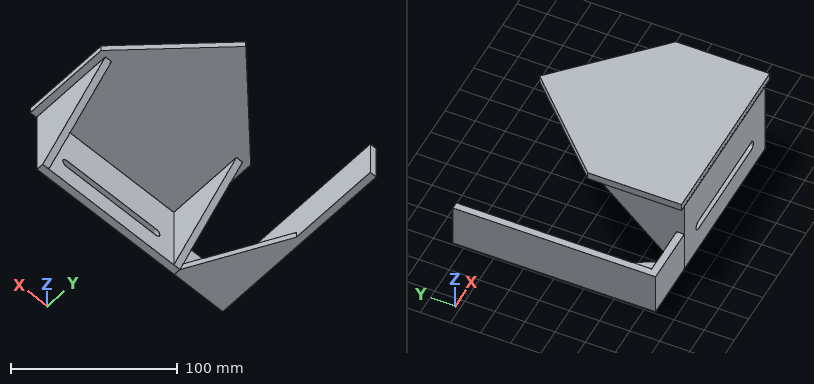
import cadquery as cq

wall = 5.0
total_width = 157.6
total_height = 60.0

bracket_width = 39.9
bracket_depth = 135.0
bracket_height = 30.0
floor_depth = 65.0

roof_side_overhang = wall
roof_front_overhang = 0.6
roof_side_depth = 62.4
hood_width = total_width - bracket_width - roof_side_overhang
wall_height = total_height - wall
gusset_leg = wall_height

slot_length = 79.6
slot_height = 6.5
slot_center_height = 20.0


def make_bracket():
    front_wall = cq.Workplane("XY").box(bracket_width, wall, bracket_height, centered=False)
    side_wall = cq.Workplane("XY").box(wall, bracket_depth, bracket_height, centered=False)
    floor = (
        cq.Workplane("XY")
        .moveTo(wall, wall)
        .lineTo(bracket_width, wall)
        .lineTo(wall, wall + floor_depth)
        .close()
        .extrude(wall)
    )
    return front_wall.union(side_wall).union(floor)


def make_gusset(left_x):
    """Triangular brace between the back of the front wall and the roof."""
    return (
        cq.Workplane("YZ", origin=(left_x, 0, 0))
        .moveTo(wall, wall_height)
        .lineTo(wall + gusset_leg, wall_height)
        .lineTo(wall, wall_height - gusset_leg)
        .close()
        .extrude(wall)
    )


def make_roof():
    left = bracket_width - roof_side_overhang
    half_width = (total_width - left) / 2
    shoulder_y = roof_side_depth - roof_front_overhang
    return (
        cq.Workplane("XY", origin=(0, 0, wall_height))
        .moveTo(left, -roof_front_overhang)
        .lineTo(total_width, -roof_front_overhang)
        .lineTo(total_width, shoulder_y)
        .lineTo(left + half_width, shoulder_y + half_width)
        .lineTo(left, shoulder_y)
        .close()
        .extrude(wall)
    )


def make_hood():
    slot = (
        cq.Workplane("XZ", origin=(bracket_width + hood_width / 2, 0, slot_center_height))
        .slot2D(slot_length, slot_height)
        .extrude(-wall)
    )
    hood = (
        cq.Workplane("XY", origin=(bracket_width, 0, 0))
        .box(hood_width, wall, wall_height, centered=False)
        .cut(slot)
        .union(make_roof())
    )
    for left_x in (bracket_width, bracket_width + hood_width - wall):
        hood = hood.union(make_gusset(left_x))
    return hood


bracket = make_bracket()
hood = make_hood()

result = cq.Compound.makeCompound([bracket.val(), hood.val()])